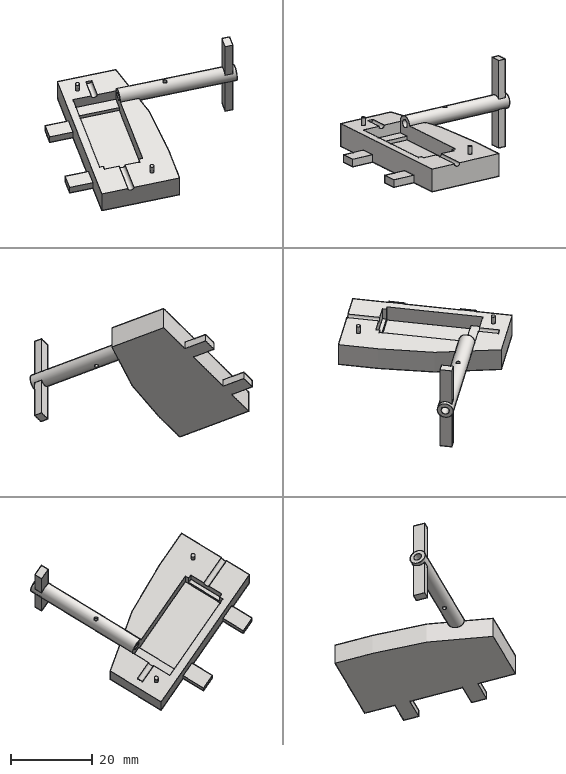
import cadquery as cq

overall_depth = 49.0

block_length = 40.0
block_width = 20.0
block_height = 6.0
left_side_width = 15.0
knee_x = 16.0
knee_y = 19.0
straight_back_start = 30.0

pocket_left = 7.0
pocket_front = 2.0
pocket_length = 24.0
pocket_width = 11.02
pocket_floor = 2.0
pocket_back = pocket_front + pocket_width
pocket_right = pocket_left + pocket_length
shelf_length = 3.0
shelf_floor = 3.0
ledge_length = 1.0
ledge_inset = 1.0
ledge_floor = 3.0

groove_start = 2.0
groove_y = 7.5
groove_diameter = 1.5

pin_diameter = 1.0
pin_height = 2.0
pin_points = [(4.0, 4.0), (36.0, 14.0)]

tab_length = 6.0
tab_width = 4.0
tab_height = 2.0
tab_lefts = [10.0, 28.0]

tube_diameter = 4.0
bore_diameter = 2.0
tube_x = 9.0
tube_end = overall_depth - tab_length
tube_length = tube_end - pocket_back
cross_hole_diameter = 1.0
cross_hole_y = 25.0

bar_width = 3.0
bar_thickness = 2.0
bar_height = 23.0
bar_end_margin = 1.0


def box_at(x, y, z, length, width, height):
    """Box placed by its left, front, bottom corner."""
    return cq.Workplane("XY").box(length, width, height, centered=False).translate((x, y, z))


def cylinder_along_y(diameter, start, length):
    """Cylinder on the tube axis."""
    plane = cq.Plane(origin=(tube_x, start, block_height), xDir=(1, 0, 0), normal=(0, 1, 0))
    return cq.Workplane(plane).circle(diameter / 2).extrude(length)


def make_block():
    outline = [
        (0, 0),
        (block_length, 0),
        (block_length, block_width),
        (straight_back_start, block_width),
        (knee_x, knee_y),
        (0, left_side_width),
    ]
    return cq.Workplane("XY").polyline(outline).close().extrude(block_height)


def make_pocket():
    main = box_at(
        pocket_left + shelf_length, pocket_front, pocket_floor,
        pocket_length - shelf_length, pocket_width, block_height - pocket_floor,
    )
    shelf = box_at(
        pocket_left, pocket_front, shelf_floor,
        shelf_length, pocket_width, block_height - shelf_floor,
    )
    ledge = box_at(
        pocket_right, pocket_front + ledge_inset, ledge_floor,
        ledge_length, pocket_width - 2 * ledge_inset, block_height - ledge_floor,
    )
    return main.union(shelf).union(ledge)


def make_groove():
    plane = cq.Workplane("YZ", origin=(groove_start, groove_y, block_height))
    return plane.circle(groove_diameter / 2).extrude(block_length - groove_start)


def make_pins():
    plane = cq.Workplane("XY", origin=(0, 0, block_height))
    return plane.pushPoints(pin_points).circle(pin_diameter / 2).extrude(pin_height)


def make_bar():
    return box_at(
        tube_x - bar_width / 2,
        tube_end - bar_end_margin - bar_thickness,
        block_height - bar_height / 2,
        bar_width, bar_thickness, bar_height,
    )


def make_cross_hole():
    """Vertical hole through both walls of the tube."""
    plane = cq.Workplane("XY", origin=(tube_x, cross_hole_y, block_height - tube_diameter / 2))
    return plane.circle(cross_hole_diameter / 2).extrude(tube_diameter)


base = make_block().cut(make_pocket()).cut(make_groove()).union(make_pins())
for tab_left in tab_lefts:
    base = base.union(box_at(tab_left, -tab_length, 0, tab_width, tab_length, tab_height))

tube = cylinder_along_y(tube_diameter, pocket_back, tube_length)

result = (
    base.union(tube)
    .union(make_bar())
    .cut(cylinder_along_y(bore_diameter, pocket_back, tube_length))
    .cut(make_cross_hole())
)